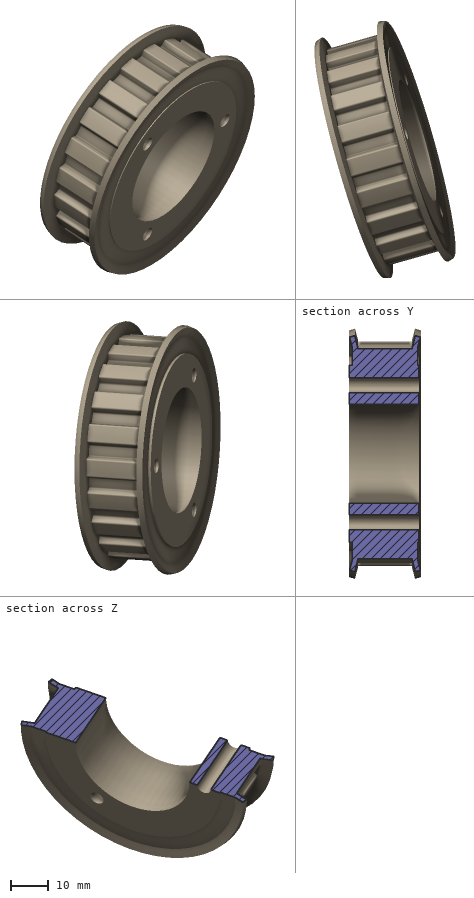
import cadquery as cq
import math

width = 19.1
outer_diameter = 66.7

tooth_count = 20
tooth_tip_radius = 29.95
groove_depth = 2.1
groove_bottom_width = 3.1
groove_flank_angle = 20.0
tooth_fillet = 0.5
seam_tolerance = 0.01

flange_thickness = 1.6
flange_recess = 0.75
flange_bend_radius = 30.35
lip_outer_radius = 32.9
lip_edge_width = 1.55

bore_diameter = 33.7
hub_diameter = 51.75
hole_diameter = 3.9
hole_circle_radius = 21.15
hole_count = 3
hub_end_recess = 0.5

toothed_width = width - 2 * (flange_recess + flange_thickness)


def cylinder(radius, length):
    """Cylinder along X, centred on the origin."""
    return cq.Workplane("YZ", origin=(-length / 2, 0, 0)).circle(radius).extrude(length)


def toothed_rim():
    """Belt teeth with filleted tips and roots; one tooth points along -Y."""
    root_radius = tooth_tip_radius - groove_depth
    overshoot = 1.35
    bottom_half = groove_bottom_width / 2
    flank_run = math.tan(math.radians(groove_flank_angle))
    top_half = bottom_half + (groove_depth + overshoot) * flank_run
    top_radius = tooth_tip_radius + overshoot
    groove = (
        cq.Workplane("YZ", origin=(-toothed_width / 2, 0, 0))
        .polyline([
            (root_radius, -bottom_half),
            (top_radius, -top_half),
            (top_radius, top_half),
            (root_radius, bottom_half),
        ])
        .close()
        .extrude(toothed_width)
    )
    rim = cylinder(tooth_tip_radius, toothed_width)
    pitch_angle = 360 / tooth_count
    for index in range(tooth_count):
        angle = (index + 0.5) * pitch_angle
        rim = rim.cut(groove.rotate((0, 0, 0), (1, 0, 0), angle))
    corners = rim.edges("|X").filter(lambda edge: abs(edge.Center().z) > seam_tolerance)
    return corners.fillet(tooth_fillet)


def left_flange():
    """Flat ring with a lip flared outward, revolved about X."""
    outer_face = -width / 2 + flange_recess
    return (
        cq.Workplane("XY")
        .moveTo(outer_face, 0)
        .lineTo(outer_face, flange_bend_radius)
        .lineTo(-width / 2, lip_outer_radius)
        .lineTo(-width / 2 + lip_edge_width, outer_diameter / 2)
        .lineTo(outer_face + flange_thickness, flange_bend_radius)
        .lineTo(outer_face + flange_thickness, 0)
        .close()
        .revolve(360, (0, 0, 0), (1, 0, 0))
    )


def screw_holes():
    """Through holes around the bore, the first one on +Y."""
    return (
        cq.Workplane("YZ")
        .polarArray(hole_circle_radius, 0, 360, hole_count)
        .circle(hole_diameter / 2)
        .extrude(width, both=True)
    )


flange = left_flange()
hub_length = width - hub_end_recess
hub = cylinder(hub_diameter / 2, hub_length).translate((-hub_end_recess / 2, 0, 0))
body = toothed_rim().union(hub).union(flange).union(flange.mirror("YZ"))
bore = cylinder(bore_diameter / 2, width)
result = body.cut(bore).cut(screw_holes())